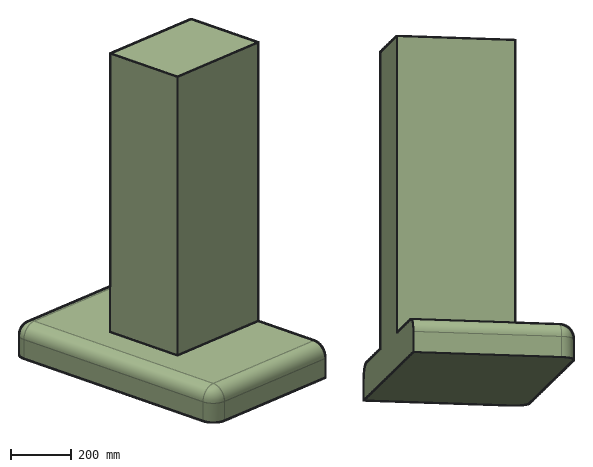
import cadquery as cq

total_height = 1120
base_width = 900.0
base_depth = 550.0
base_height = 120.0
edge_radius = 50.0

column_width = 300.0
column_depth = 400.0
column_height = total_height - base_height


def make_base():
    """Slab with rounded front corners and a rounded top rim, flat at the back."""
    slab = cq.Workplane("XY").box(base_width, base_depth, base_height, centered=(True, False, False))
    front_corners = slab.edges("|Z and <Y").fillet(edge_radius)
    return front_corners.faces(">Z").edges("not >Y").fillet(edge_radius)


def make_column():
    """Plain rectangular column on top of the base."""
    column = cq.Workplane("XY").box(column_width, column_depth, column_height, centered=(True, False, False))
    return column.translate((0, base_depth - column_depth, base_height))


result = make_base().union(make_column())